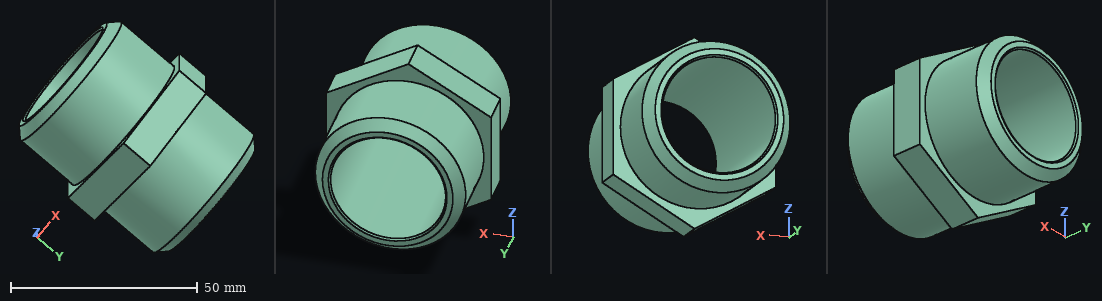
import cadquery as cq

total_length = 52.5
hex_across_flats = 46.0
hex_width = 9.5
hex_sides = 6
spigot_diameter = 41.91
end_chamfer = 2.8
bore_diameter = 32.0
bore_edge_chamfer = 0.5


def cylinder_along_y(diameter, length):
    """Cylinder centred on the origin with its axis along Y."""
    return cq.Workplane("XZ").circle(diameter / 2).extrude(length / 2, both=True)


def chamfered_spigots():
    """One cylinder forming both spigots, bevelled at both outer ends."""
    spigots = cylinder_along_y(spigot_diameter, total_length)
    return spigots.faces("<Y or >Y").edges().chamfer(end_chamfer)


def hexagon_collar():
    """Spanner hexagon with two flats facing -X and +X and corners at -Z and +Z."""
    return (
        cq.Workplane("XZ")
        .polygon(hex_sides, hex_across_flats, circumscribed=True)
        .extrude(hex_width / 2, both=True)
    )


def chamfered_bore():
    """Through bore plus a small countersink at each end."""
    bore = cylinder_along_y(bore_diameter, total_length)
    mouth_diameter = bore_diameter + 2 * bore_edge_chamfer
    for end in (-1, 1):
        countersink = cq.Solid.makeCone(
            mouth_diameter / 2,
            bore_diameter / 2,
            bore_edge_chamfer,
            pnt=cq.Vector(0, end * total_length / 2, 0),
            dir=cq.Vector(0, -end, 0),
        )
        bore = bore.union(cq.Workplane(obj=countersink))
    return bore


result = chamfered_spigots().union(hexagon_collar()).cut(chamfered_bore())